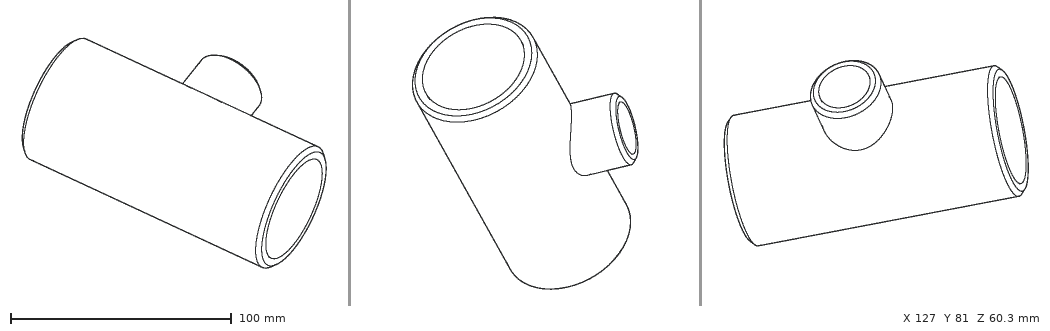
import cadquery as cq

RUN_LENGTH = 127.0
RUN_OUTER_DIAMETER = 60.325
RUN_BORE_DIAMETER = 49.25
BRANCH_REACH = 50.8
BRANCH_OUTER_DIAMETER = 33.4
BRANCH_BORE_DIAMETER = 24.3
END_CHAMFER = 2.0


def run_body():
    """Solid run cylinder centred on the origin, with both ends chamfered."""
    body = cq.Workplane("YZ").circle(RUN_OUTER_DIAMETER / 2).extrude(RUN_LENGTH / 2, both=True)
    return body.faces("<X or >X").chamfer(END_CHAMFER)


def along_branch(diameter):
    """Cylinder from the run axis out to the branch end face."""
    return cq.Workplane("XZ").circle(diameter / 2).extrude(-BRANCH_REACH)


def branch_body():
    """Solid branch cylinder with its open end chamfered."""
    return along_branch(BRANCH_OUTER_DIAMETER).faces(">Y").chamfer(END_CHAMFER)


def run_bore():
    """Straight bore through the whole run."""
    return cq.Workplane("YZ").circle(RUN_BORE_DIAMETER / 2).extrude(RUN_LENGTH / 2, both=True)


outside = run_body().union(branch_body())
result = outside.cut(run_bore()).cut(along_branch(BRANCH_BORE_DIAMETER))